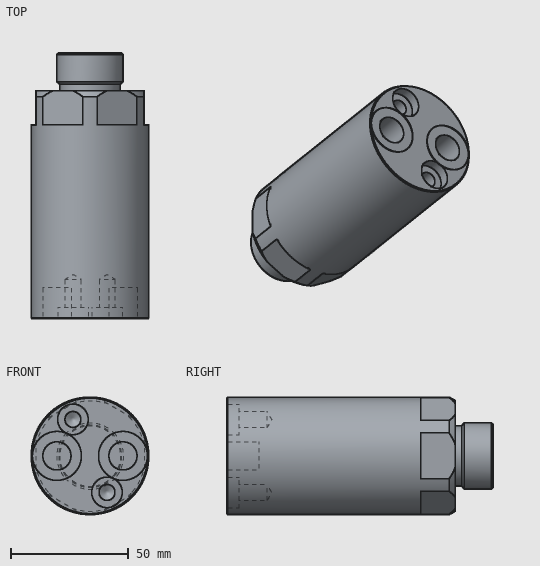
import cadquery as cq
import math

total_length = 113.0
body_radius = 50.0 / 2
port_face_y = -total_length / 2
thread_end_y = total_length / 2

spigot_length = 16.0
spigot_radius = 14.1
spigot_end_chamfer = 0.8
thread_length = 12.2
neck_radius = 12.9
neck_taper_length = 1.1
shoulder_y = thread_end_y - spigot_length
thread_start_y = thread_end_y - thread_length

shoulder_chamfer_length = 2.6
shoulder_chamfer_angle = 30
shoulder_radius = body_radius - shoulder_chamfer_length * math.tan(math.radians(shoulder_chamfer_angle))
port_face_chamfer = 0.5

flat_count = 6
across_flats = 46.0
flat_length = 14.6

port_offset = 14.0
port_bore_diameter = 12.0
port_bore_depth = 13.6
seal_recess_diameter = 20.8
seal_recess_depth = 0.3

bolt_x = -7.2
bolt_z = 15.5
counterbore_diameter = 13.0
counterbore_depth = 5.0
drill_diameter = 6.8
drill_depth = 17.0
drill_point_angle = 118


def turned_body():
    """Revolve the half profile (radius along X) about the Y axis."""
    profile = [
        (0, port_face_y),
        (body_radius - port_face_chamfer, port_face_y),
        (body_radius, port_face_y + port_face_chamfer),
        (body_radius, shoulder_y - shoulder_chamfer_length),
        (shoulder_radius, shoulder_y),
        (neck_radius, shoulder_y),
        (neck_radius, thread_start_y - neck_taper_length),
        (spigot_radius, thread_start_y),
        (spigot_radius, thread_end_y - spigot_end_chamfer),
        (spigot_radius - spigot_end_chamfer, thread_end_y),
        (0, thread_end_y),
    ]
    return cq.Workplane("XY").polyline(profile).close().revolve(360, (0, 0, 0), (0, 1, 0))


def wrench_flat(angle):
    """Block outside one flat, turned to the given angle about the Y axis."""
    block = cq.Workplane("XY").box(body_radius, flat_length, 2 * body_radius, centered=(False, False, True))
    block = block.translate((across_flats / 2, shoulder_y - flat_length, 0))
    return block.rotate((0, 0, 0), (0, 1, 0), angle)


def face_hole(x, z, diameter, depth):
    """Cylinder running from the port face into the body."""
    return cq.Workplane("XZ", origin=(x, port_face_y, z)).circle(diameter / 2).extrude(-depth)


def port(x):
    recess = face_hole(x, 0, seal_recess_diameter, seal_recess_depth)
    bore = face_hole(x, 0, port_bore_diameter, port_bore_depth)
    return recess.union(bore)


def bolt_hole(x, z):
    """Counterbore and drilled hole with a conical bottom."""
    drill_radius = drill_diameter / 2
    point_length = drill_radius / math.tan(math.radians(drill_point_angle / 2))
    profile = [
        (0, 0),
        (counterbore_diameter / 2, 0),
        (counterbore_diameter / 2, counterbore_depth),
        (drill_radius, counterbore_depth),
        (drill_radius, drill_depth),
        (0, drill_depth + point_length),
    ]
    hole = cq.Workplane("XY").polyline(profile).close().revolve(360, (0, 0, 0), (0, 1, 0))
    return hole.translate((x, port_face_y, z))


result = turned_body()

for index in range(flat_count):
    result = result.cut(wrench_flat(index * 360 / flat_count))

for side in (1, -1):
    result = result.cut(port(side * port_offset))
    result = result.cut(bolt_hole(side * bolt_x, side * bolt_z))